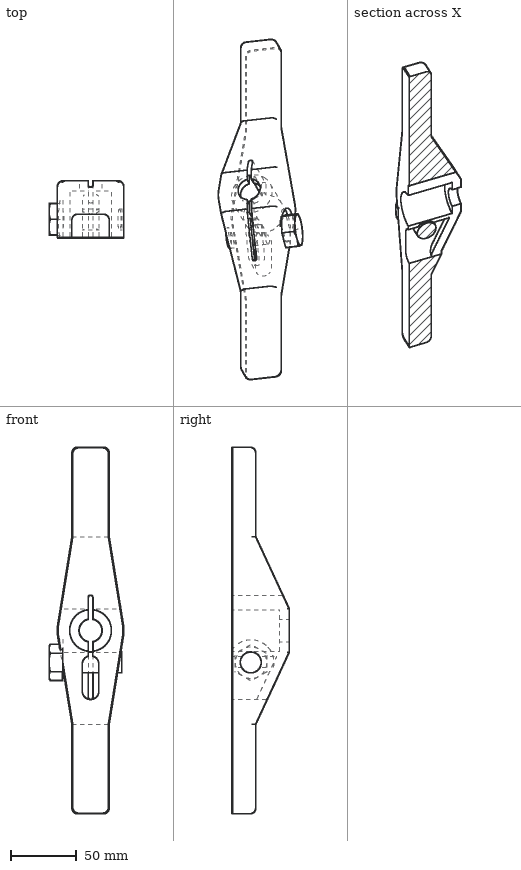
import cadquery as cq
import math

length = 279.5
hub_radius = 25.5
hub_depth = 44.0
arm_width = 28.5
arm_depth = 18.5
arm_start = 71.2
hub_flat_half = 16.5
hub_overlap = 22.4
edge_radius = 4.7
front_chamfer = 0.7

bore_diameter = 31.9
bore_depth = 36.3
small_bore_diameter = 17.3
slit_width = 3.4
slit_top = 26.8
pocket_width = 12.5
pocket_top = -19.3
pocket_bottom = -52.5
pocket_wall = 8.5

bolt_y = 14.5
bolt_z = -24.3
shank_diameter = 16.0
shank_end = 23.7
head_flats = 24.0
head_height = 10.3
head_chamfer = 0.8
spotface_diameter = 35.0
spotface_x = -21.2

half_arm = arm_width / 2

taper_slope = (hub_depth - arm_depth) / (arm_start - hub_flat_half)
hub_tip = arm_start + hub_overlap
hub_tip_depth = arm_depth - hub_overlap * taper_slope


def make_arms():
    """One bar through both ends, rounded at its corners and along its back."""
    return (
        cq.Workplane("XZ")
        .rect(arm_width, length)
        .extrude(-arm_depth)
        .edges("|Y")
        .fillet(edge_radius)
        .faces(">Y")
        .edges()
        .fillet(edge_radius)
    )


def hub_outline():
    """Lozenge whose sides are tangent to the hub circle and meet the arm corners."""
    corner_distance = math.hypot(half_arm, arm_start)
    angle = math.atan2(arm_start, half_arm) - math.acos(hub_radius / corner_distance)
    tangent_x = hub_radius * math.cos(angle)
    tangent_z = hub_radius * math.sin(angle)
    tip_x = half_arm - (hub_tip - arm_start) * math.tan(angle)
    return (
        cq.Workplane("XZ")
        .moveTo(tip_x, hub_tip)
        .lineTo(tangent_x, tangent_z)
        .threePointArc((hub_radius, 0), (tangent_x, -tangent_z))
        .lineTo(tip_x, -hub_tip)
        .lineTo(-tip_x, -hub_tip)
        .lineTo(-tangent_x, -tangent_z)
        .threePointArc((-hub_radius, 0), (-tangent_x, tangent_z))
        .lineTo(-tip_x, hub_tip)
        .close()
    )


def hub_profile():
    """Flat back with straight tapers that run down into the arms."""
    return (
        cq.Workplane("YZ")
        .polyline([
            (0, -hub_tip),
            (hub_tip_depth, -hub_tip),
            (hub_depth, -hub_flat_half),
            (hub_depth, hub_flat_half),
            (hub_tip_depth, hub_tip),
            (0, hub_tip),
        ])
        .close()
        .extrude(hub_radius, both=True)
    )


def make_hub():
    """Lozenge cut to the tapered profile, its back edges rounded on both sides."""
    hub = hub_outline().extrude(-hub_depth).intersect(hub_profile())
    return hub.edges("(not |X) and (not |Y) and (not <Y)").fillet(edge_radius)


def make_body():
    """Hub and arms together, with the rim of the flat front face broken."""
    return make_arms().union(make_hub()).faces("<Y").chamfer(front_chamfer)


def vertical_slot(width, top, bottom, depth):
    """Round-ended slot along Z, cut back from the front face."""
    return (
        cq.Workplane("XZ")
        .center(0, (top + bottom) / 2)
        .slot2D(top - bottom, width, 90)
        .extrude(-depth)
    )


def make_pocket():
    """Slot whose floor stays a constant wall away from the back of the hub."""
    return vertical_slot(pocket_width, pocket_top, pocket_bottom, hub_depth).intersect(
        hub_profile().translate((0, -pocket_wall, 0))
    )


def along_x(diameter, start, end):
    """Cylinder on the bolt axis."""
    return (
        cq.Workplane("YZ", origin=(start, bolt_y, bolt_z))
        .circle(diameter / 2)
        .extrude(end - start)
    )


def make_bolt():
    head_corners = head_flats / math.cos(math.pi / 6)
    head_end = spotface_x - head_height
    head = (
        cq.Workplane("YZ", origin=(head_end, bolt_y, bolt_z))
        .transformed(rotate=(0, 0, 90))
        .polygon(6, head_corners)
        .extrude(head_height)
    )
    rounding = along_x(head_corners, head_end, spotface_x).faces("<X").chamfer(
        head_chamfer, (head_corners - head_flats) / 2
    )
    shank = along_x(shank_diameter, spotface_x, shank_end)
    return head.intersect(rounding).union(shank)


bore = cq.Workplane("XZ").circle(bore_diameter / 2).extrude(-bore_depth)
small_bore = cq.Workplane("XZ").circle(small_bore_diameter / 2).extrude(-hub_depth)
spotface = along_x(spotface_diameter, -hub_radius, spotface_x)

result = (
    make_body()
    .cut(bore)
    .cut(small_bore)
    .cut(vertical_slot(slit_width, slit_top, pocket_bottom, hub_depth))
    .cut(make_pocket())
    .cut(spotface)
    .union(make_bolt())
)